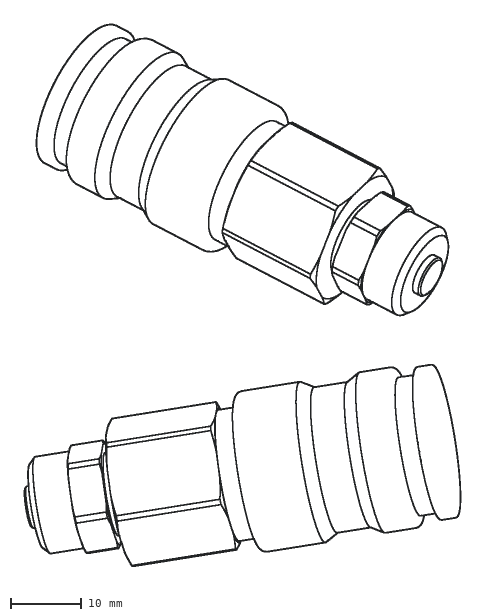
import cadquery as cq
import math


flange_diameter = 22.1
flange_length = 2.4
flange_round = 0.25
front_neck_diameter = 19.95

sleeve_diameter = 23.2
sleeve_start = 5.15
sleeve_end = 28.6
sleeve_round = 1.0
waist_diameter = 21.0
waist_start = 12.4
waist_end = 17.3
shoulder_angle = 30.0
shoulder_length = (sleeve_diameter - waist_diameter) / 2 / math.tan(math.radians(shoulder_angle))

rear_neck_diameter = 18.95
body_hex_start = 31.4
body_hex_end = 47.25
body_hex_flats = 19.0
body_hex_corner_diameter = 21.5
body_hex_face_diameter = 19.35
body_hex_turn = 8.9

stud_diameter = 12.0
nipple_diameter = 6.05
nipple_chamfer = 0.25
total_length = 60.5

nut_start = 48.4
nut_hex_end = 53.3
nut_end = 59.3
nut_hex_flats = 14.0
nut_hex_corner_diameter = 15.6
nut_hex_face_diameter = 14.65
nut_hex_turn = 11.0
nut_skirt_diameter = 14.0
nut_skirt_chamfer = 0.9

hex_sides = 6
hex_chamfer_angle = 20.0


def disc(diameter, start, end):
    """Solid cylinder along X between two places."""
    return cq.Workplane("YZ", origin=(start, 0, 0)).circle(diameter / 2).extrude(end - start)


def revolve_about_x(profile):
    """Turn a closed XY profile into a solid of revolution about the X axis."""
    return profile.close().revolve(360, (0, 0, 0), (1, 0, 0))


def turned_hexagon(start, end, flats, corner_diameter, face_diameter, turn):
    """Hexagonal prism along X with rounded corners and chamfered ends.

    One corner points to -Y, turned up towards +Z by the given angle.
    """
    sharp_corner_diameter = flats / math.cos(math.pi / hex_sides)
    corner_radius = corner_diameter / 2
    face_radius = face_diameter / 2
    chamfer = (corner_radius - face_radius) * math.tan(math.radians(hex_chamfer_angle))
    prism = (
        cq.Workplane("YZ", origin=(start, 0, 0))
        .polygon(hex_sides, sharp_corner_diameter)
        .extrude(end - start)
        .rotate((0, 0, 0), (1, 0, 0), -turn)
    )
    envelope = revolve_about_x(
        cq.Workplane("XY")
        .moveTo(start, 0)
        .lineTo(start, face_radius)
        .lineTo(start + chamfer, corner_radius)
        .lineTo(end - chamfer, corner_radius)
        .lineTo(end, face_radius)
        .lineTo(end, 0)
    )
    return prism.intersect(envelope)


def make_flange():
    """Closed end disc with both rims rounded."""
    return disc(flange_diameter, 0, flange_length).edges().fillet(flange_round)


def make_sleeve():
    """Waisted gripping sleeve with rounded ends."""
    outer_radius = sleeve_diameter / 2
    waist_radius = waist_diameter / 2
    sleeve = revolve_about_x(
        cq.Workplane("XY")
        .moveTo(sleeve_start, 0)
        .lineTo(sleeve_start, outer_radius)
        .lineTo(waist_start - shoulder_length, outer_radius)
        .lineTo(waist_start, waist_radius)
        .lineTo(waist_end, waist_radius)
        .lineTo(waist_end + shoulder_length, outer_radius)
        .lineTo(sleeve_end, outer_radius)
        .lineTo(sleeve_end, 0)
    )
    return sleeve.faces("<X or >X").edges().fillet(sleeve_round)


def make_coupling():
    """Coupling body: flange, sleeve, hexagon, stud neck and nipple in one solid."""
    front_neck = disc(front_neck_diameter, flange_length, sleeve_start)
    rear_neck = disc(rear_neck_diameter, sleeve_end, body_hex_start)
    body_hex = turned_hexagon(
        body_hex_start,
        body_hex_end,
        body_hex_flats,
        body_hex_corner_diameter,
        body_hex_face_diameter,
        body_hex_turn,
    )
    stud_neck = disc(stud_diameter, body_hex_end, nut_start)
    nipple = disc(nipple_diameter, nut_start, total_length).faces(">X").edges().chamfer(nipple_chamfer)

    coupling = make_flange()
    for section in (front_neck, make_sleeve(), rear_neck, body_hex, stud_neck, nipple):
        coupling = coupling.union(section)
    return coupling


def make_nut():
    """Union nut that sits against the stud neck, bored to fit the nipple."""
    nut_hex = turned_hexagon(
        nut_start,
        nut_hex_end,
        nut_hex_flats,
        nut_hex_corner_diameter,
        nut_hex_face_diameter,
        nut_hex_turn,
    )
    skirt = disc(nut_skirt_diameter, nut_hex_end, nut_end).faces(">X").edges().chamfer(nut_skirt_chamfer)
    bore = disc(nipple_diameter, nut_start, nut_end)
    return nut_hex.union(skirt).cut(bore)


coupling = make_coupling()
nut = make_nut()
result = cq.Compound.makeCompound([coupling.val(), nut.val()])